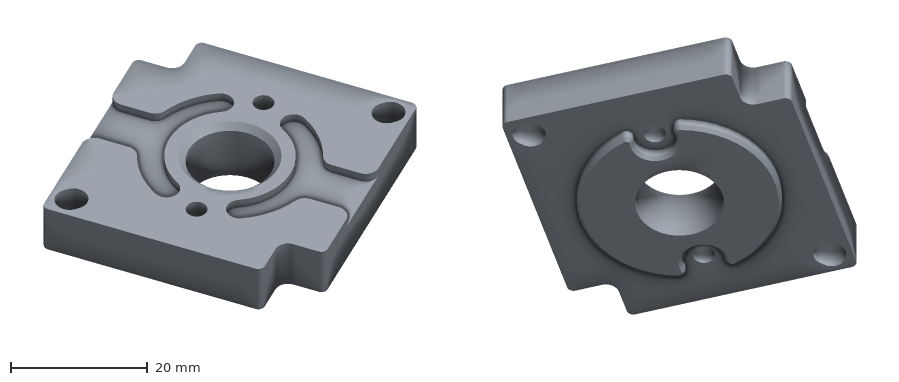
import cadquery as cq
import math

plate_side = 42.0
total_height = 9.8
boss_height = 1.8
plate_height = total_height - boss_height
corner_radius = 1.0
notch_size = 7.0
notch_inner_radius = 2.0

boss_radius = 15.0
boss_chamfer = 0.5
scallop_radius = 3.2
scallop_corner_radius = 1.0

bore_radius = 6.5
bore_chamfer = 1.0
small_hole_radius = 1.6
small_hole_offset = 12.5
corner_slot_diameter = 4.4
corner_slot_travel = 0.6
corner_slot_distance = 25.0
corner_slot_angle = 45.0

recess_depth = 1.5
recess_inner_radius = 9.6
recess_outer_radius = 13.6
recess_half_angle = 60.0
channel_half_width = 4.0
channel_blend_radius = 2.0
mouth_radius = 2.0

half_side = plate_side / 2


def polar(radius, degrees):
    angle = math.radians(degrees)
    return (radius * math.cos(angle), radius * math.sin(angle))


def mirrored(point):
    return (point[0], -point[1])


def make_plate():
    """Square plate with notches in two opposite corners and rounded vertical edges."""
    notch_edge = half_side - notch_size
    corners = [
        (-half_side, -half_side),
        (notch_edge, -half_side),
        (notch_edge, -notch_edge),
        (half_side, -notch_edge),
        (half_side, half_side),
        (-notch_edge, half_side),
        (-notch_edge, notch_edge),
        (-half_side, notch_edge),
    ]
    inner_corners = [(notch_edge, -notch_edge), (-notch_edge, notch_edge)]
    plate = cq.Workplane("XY").polyline(corners).close().extrude(plate_height)
    for x, y in corners:
        radius = notch_inner_radius if (x, y) in inner_corners else corner_radius
        edge = cq.selectors.NearestToPointSelector((x, y, plate_height / 2))
        plate = plate.edges(edge).fillet(radius)
    return plate


def make_boss():
    """Round boss with a scallop around each small hole and a chamfered lower rim."""
    corner_distance = boss_radius - scallop_corner_radius
    scallop_reach = scallop_radius + scallop_corner_radius
    corner_y = (corner_distance**2 - scallop_reach**2 + small_hole_offset**2) / (2 * small_hole_offset)
    corner_x = math.sqrt(corner_distance**2 - corner_y**2)

    rim_scale = boss_radius / corner_distance
    rim_x, rim_y = corner_x * rim_scale, corner_y * rim_scale
    wall_x = corner_x * scallop_radius / scallop_reach
    wall_y = small_hole_offset + (corner_y - small_hole_offset) * scallop_radius / scallop_reach
    scallop_floor = small_hole_offset - scallop_radius

    boss = (
        cq.Workplane("XY")
        .moveTo(rim_x, -rim_y)
        .threePointArc((boss_radius, 0), (rim_x, rim_y))
        .radiusArc((wall_x, wall_y), -scallop_corner_radius)
        .threePointArc((0, scallop_floor), (-wall_x, wall_y))
        .radiusArc((-rim_x, rim_y), -scallop_corner_radius)
        .threePointArc((-boss_radius, 0), (-rim_x, -rim_y))
        .radiusArc((-wall_x, -wall_y), -scallop_corner_radius)
        .threePointArc((0, -scallop_floor), (wall_x, -wall_y))
        .radiusArc((rim_x, -rim_y), -scallop_corner_radius)
        .close()
        .extrude(-boss_height)
    )
    return boss.faces("<Z").edges().chamfer(boss_chamfer)


def make_recess():
    """Cutter for the +X side: a curved slot that opens through a flared channel."""
    blend_distance = recess_outer_radius + channel_blend_radius
    blend_y = channel_half_width + channel_blend_radius
    blend_x = math.sqrt(blend_distance**2 - blend_y**2)
    blend_scale = recess_outer_radius / blend_distance

    inner_end = polar(recess_inner_radius, recess_half_angle)
    outer_end = polar(recess_outer_radius, recess_half_angle)
    blend_start = (blend_x * blend_scale, blend_y * blend_scale)
    channel_start = (blend_x, channel_half_width)
    mouth_start = (half_side - mouth_radius, channel_half_width)
    mouth_end = (half_side, channel_half_width + mouth_radius)
    slot_end_radius = (recess_outer_radius - recess_inner_radius) / 2

    return (
        cq.Workplane("XY", origin=(0, 0, plate_height))
        .moveTo(*mirrored(inner_end))
        .threePointArc((recess_inner_radius, 0), inner_end)
        .radiusArc(outer_end, slot_end_radius)
        .radiusArc(blend_start, recess_outer_radius)
        .radiusArc(channel_start, -channel_blend_radius)
        .lineTo(*mouth_start)
        .radiusArc(mouth_end, -mouth_radius)
        .lineTo(*mirrored(mouth_end))
        .radiusArc(mirrored(mouth_start), -mouth_radius)
        .lineTo(*mirrored(channel_start))
        .radiusArc(mirrored(blend_start), -channel_blend_radius)
        .radiusArc(mirrored(outer_end), recess_outer_radius)
        .radiusArc(mirrored(inner_end), slot_end_radius)
        .close()
        .extrude(-recess_depth)
    )


def make_holes():
    """Cutters for the bore, the two small holes and the two diagonal slots."""
    base = cq.Workplane("XY", origin=(0, 0, -boss_height))
    bore = base.circle(bore_radius).extrude(total_height)
    countersink = (
        cq.Workplane("XY", origin=(0, 0, plate_height))
        .circle(bore_radius + bore_chamfer)
        .workplane(offset=-bore_chamfer)
        .circle(bore_radius)
        .loft()
    )
    small_holes = (
        base.pushPoints([(0, small_hole_offset), (0, -small_hole_offset)])
        .circle(small_hole_radius)
        .extrude(total_height)
    )
    corner_slots = (
        base.polarArray(corner_slot_distance, corner_slot_angle, 360, 2)
        .slot2D(corner_slot_diameter + corner_slot_travel, corner_slot_diameter)
        .extrude(total_height)
    )
    return [bore, countersink, small_holes, corner_slots]


recess = make_recess()
result = make_plate().union(make_boss())
for cutter in [recess, recess.mirror("YZ")] + make_holes():
    result = result.cut(cutter)